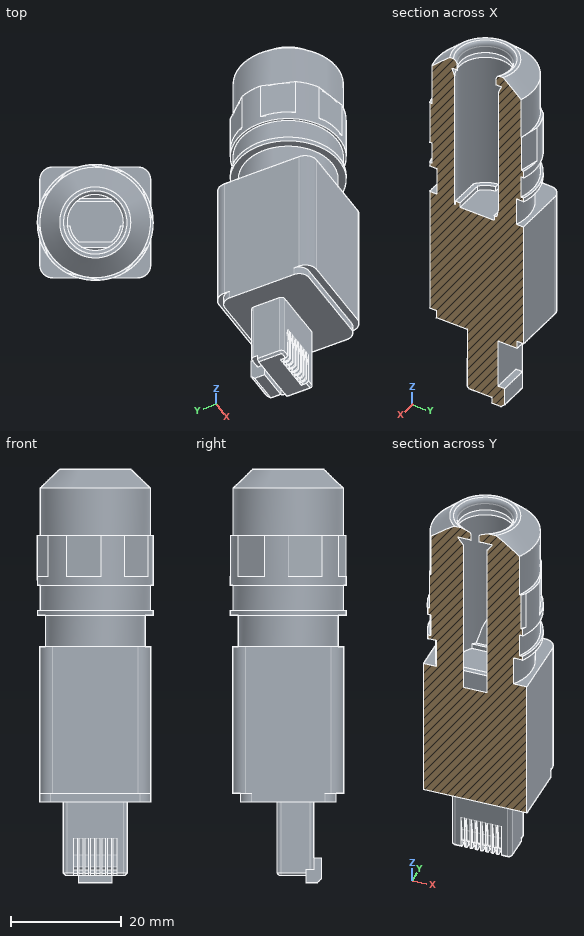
import math

import cadquery as cq


HOUSING_STEP_Z = 1.6
HOUSING_TOP_Z = 28.15
FLANGE_BOTTOM_Z = 33.8
FLANGE_TOP_Z = 34.7
COLLAR_BOTTOM_Z = 39.2
FLAT_BOTTOM_Z = 40.8
COLLAR_TOP_Z = 48.25
CONE_BOTTOM_Z = 56.8
GLAND_TOP_Z = 60.25
PLUG_END_Z = -13.3
LATCH_END_Z = -14.6

HOUSING_WIDTH = 20.1
HOUSING_CORNER_RADIUS = 2.35
STEP_DEPTH_Y = 17.3
STEP_CORNER_RADIUS = 2.0

NECK_RADIUS = 9.05
NUT_RADIUS = 10.0
COLLAR_RADIUS = 10.5
MOUTH_RIM_RADIUS = 6.43
FLAT_COUNT = 6
FLAT_FIRST_ANGLE = 18.0

MOUTH_RADIUS = 5.07
LIP_RADIUS = 1.0
LIP_TOP_RADIUS = 5.74
BORE_RADIUS = 5.5
GROOVE_RADIUS = 6.0
GROOVE_TOP_DEPTH = 2.35
GROOVE_BOTTOM_DEPTH = 3.75
BORE_FLOOR_Z = HOUSING_TOP_Z
FLOOR_SLOPE_HEIGHT = 6.5
BACK_RAMP_Y = 4.3
FRONT_GUTTER_Y = -4.5
POCKET_RADIUS = 4.6
POCKET_FRONT_Y = -3.5
POCKET_SHOULDER_Y = -0.65
POCKET_BACK_Y = 3.75
POCKET_DEPTH = 1.0

PLUG_WIDTH = 11.6
PLUG_FRONT_Y = -2.05
PLUG_BACK_Y = 4.65
PLUG_CORNER_RADIUS = 0.7
PLUG_END_CHAMFER = 0.45

LATCH_WIDTH = 6.1
LATCH_FRONT_Y = 3.2
LATCH_BACK_Y = 6.05
LATCH_TOP_Z = -10.1
LATCH_SHOULDER_Z = -12.15
LATCH_CHAMFER = 0.8

SLOT_COUNT = 8
SLOT_PITCH = 1.02
SLOT_WIDTH = 0.7
SLOT_TOP_Z = -6.55
SLOT_RAMP_END_Z = -9.55
SLOT_FLAT_END_Z = -11.65
SLOT_SHALLOW_DEPTH = 0.5
SLOT_ROUND_RADIUS = 0.6
SLOT_END_CHAMFER = 0.4


def make_housing():
    body = (
        cq.Workplane("XY", origin=(0, 0, HOUSING_STEP_Z))
        .rect(HOUSING_WIDTH, HOUSING_WIDTH)
        .extrude(HOUSING_TOP_Z - HOUSING_STEP_Z)
        .edges("|Z")
        .fillet(HOUSING_CORNER_RADIUS)
    )
    step = (
        cq.Workplane("XY")
        .rect(HOUSING_WIDTH, STEP_DEPTH_Y)
        .extrude(HOUSING_STEP_Z)
        .edges("|Z")
        .fillet(STEP_CORNER_RADIUS)
    )
    return body.union(step)


def make_gland():
    profile = [
        (0, HOUSING_TOP_Z),
        (NECK_RADIUS, HOUSING_TOP_Z),
        (NECK_RADIUS, FLANGE_BOTTOM_Z),
        (COLLAR_RADIUS, FLANGE_BOTTOM_Z),
        (COLLAR_RADIUS, FLANGE_TOP_Z),
        (NUT_RADIUS, FLANGE_TOP_Z),
        (NUT_RADIUS, COLLAR_BOTTOM_Z),
        (COLLAR_RADIUS, COLLAR_BOTTOM_Z),
        (COLLAR_RADIUS, COLLAR_TOP_Z),
        (NUT_RADIUS, COLLAR_TOP_Z),
        (NUT_RADIUS, CONE_BOTTOM_Z),
        (MOUTH_RIM_RADIUS, GLAND_TOP_Z),
        (0, GLAND_TOP_Z),
    ]
    gland = cq.Workplane("XZ").polyline(profile).close().revolve(360, (0, 0), (0, 1))
    return gland.cut(make_wrench_flats())


def make_wrench_flats():
    """Material outside a hexagon whose flats touch the nut cylinder."""
    flat_height = COLLAR_TOP_Z - FLAT_BOTTOM_Z
    block_depth = 2 * (COLLAR_RADIUS - NUT_RADIUS)
    block = cq.Workplane("XY", origin=(0, 0, FLAT_BOTTOM_Z)).box(
        block_depth, NUT_RADIUS, flat_height, centered=(False, True, False)
    )
    block = block.translate((NUT_RADIUS, 0, 0))
    flats = cq.Workplane("XY")
    for index in range(FLAT_COUNT):
        angle = FLAT_FIRST_ANGLE + index * 360 / FLAT_COUNT
        flats = flats.union(block.rotate((0, 0, 0), (0, 0, 1), angle))
    return flats


def make_bore():
    """Blind cable bore with a rounded lip, an undercut and a sloped floor edge front and back."""
    lip_center_radius = MOUTH_RADIUS + LIP_RADIUS
    lip_depth = math.sqrt(LIP_RADIUS**2 - (lip_center_radius - LIP_TOP_RADIUS) ** 2)
    lip_bottom_z = GLAND_TOP_Z - lip_depth
    half_lip_angle = math.asin(lip_depth / LIP_RADIUS) / 2
    lip_middle = (
        lip_center_radius - LIP_RADIUS * math.cos(half_lip_angle),
        lip_bottom_z + LIP_RADIUS * math.sin(half_lip_angle),
    )
    groove_top_z = GLAND_TOP_Z - GROOVE_TOP_DEPTH
    groove_bottom_z = GLAND_TOP_Z - GROOVE_BOTTOM_DEPTH
    bore = (
        cq.Workplane("XZ")
        .moveTo(0, BORE_FLOOR_Z)
        .lineTo(BORE_RADIUS, BORE_FLOOR_Z)
        .lineTo(BORE_RADIUS, groove_bottom_z)
        .lineTo(GROOVE_RADIUS, groove_top_z)
        .lineTo(MOUTH_RADIUS, groove_top_z)
        .lineTo(MOUTH_RADIUS, lip_bottom_z)
        .threePointArc(lip_middle, (LIP_TOP_RADIUS, GLAND_TOP_Z))
        .lineTo(0, GLAND_TOP_Z)
        .close()
        .revolve(360, (0, 0), (0, 1))
    )
    back_ramp = make_edge_wedge(BACK_RAMP_Y, BORE_RADIUS, FLOOR_SLOPE_HEIGHT)
    front_gutter = make_edge_wedge(FRONT_GUTTER_Y, -BORE_RADIUS, -FLOOR_SLOPE_HEIGHT)
    return bore.cut(back_ramp).union(front_gutter).union(make_floor_pocket())


def make_edge_wedge(foot_y, wall_y, rise):
    """Part of the bore cylinder between the floor and a slope from a straight foot to the bore wall."""
    wedge = (
        cq.Workplane("YZ")
        .polyline([(foot_y, BORE_FLOOR_Z), (wall_y, BORE_FLOOR_Z), (wall_y, BORE_FLOOR_Z + rise)])
        .close()
        .extrude(BORE_RADIUS, both=True)
    )
    bore_column = cq.Workplane("XY", origin=(0, 0, BORE_FLOOR_Z)).circle(BORE_RADIUS).extrude(rise)
    return wedge.intersect(bore_column)


def make_floor_pocket():
    """Pocket in the bore floor: full bore width at the back, a smaller arc cut off straight at the front."""
    pocket_base = cq.Workplane("XY", origin=(0, 0, BORE_FLOOR_Z - POCKET_DEPTH))
    back_part = make_pocket_part(pocket_base, BORE_RADIUS, POCKET_SHOULDER_Y, POCKET_BACK_Y)
    front_part = make_pocket_part(pocket_base, POCKET_RADIUS, POCKET_FRONT_Y, POCKET_SHOULDER_Y)
    return back_part.union(front_part)


def make_pocket_part(pocket_base, radius, front_y, back_y):
    """Slice of a round pocket between two Y positions."""
    disc = pocket_base.circle(radius).extrude(POCKET_DEPTH)
    band = (
        pocket_base.center(0, (front_y + back_y) / 2)
        .rect(2 * radius, back_y - front_y)
        .extrude(POCKET_DEPTH)
    )
    return disc.intersect(band)


def make_plug():
    depth = PLUG_BACK_Y - PLUG_FRONT_Y
    middle_y = (PLUG_BACK_Y + PLUG_FRONT_Y) / 2
    plug = (
        cq.Workplane("XY", origin=(0, middle_y, PLUG_END_Z))
        .rect(PLUG_WIDTH, depth)
        .extrude(-PLUG_END_Z)
        .edges("|Z")
        .fillet(PLUG_CORNER_RADIUS)
        .faces("<Z")
        .chamfer(PLUG_END_CHAMFER)
    )
    return plug.cut(make_latch_notch()).cut(make_contact_slots())


def make_latch_notch():
    """Full-width notch in the back end edge of the plug, which the latch sits in."""
    return cq.Workplane("XY", origin=(0, LATCH_FRONT_Y, PLUG_END_Z)).box(
        PLUG_WIDTH,
        PLUG_BACK_Y - LATCH_FRONT_Y,
        LATCH_SHOULDER_Z - PLUG_END_Z,
        centered=(True, False, False),
    )


def make_contact_slots():
    """Row of slots whose floor slopes in, runs straight, then drops back around a rounded contact end."""
    shallow_y = PLUG_FRONT_Y + SLOT_SHALLOW_DEPTH
    deep_y = shallow_y + SLOT_ROUND_RADIUS
    round_end_z = SLOT_FLAT_END_Z - SLOT_ROUND_RADIUS
    round_offset = SLOT_ROUND_RADIUS * math.sqrt(0.5)
    round_middle = (deep_y - round_offset, SLOT_FLAT_END_Z - round_offset)
    slot = (
        cq.Workplane("YZ")
        .moveTo(PLUG_FRONT_Y, SLOT_TOP_Z)
        .lineTo(shallow_y, SLOT_RAMP_END_Z)
        .lineTo(shallow_y, SLOT_FLAT_END_Z)
        .threePointArc(round_middle, (deep_y, round_end_z))
        .lineTo(deep_y, PLUG_END_Z + SLOT_END_CHAMFER)
        .lineTo(deep_y + SLOT_END_CHAMFER, PLUG_END_Z)
        .lineTo(PLUG_FRONT_Y, PLUG_END_Z)
        .close()
        .extrude(SLOT_WIDTH / 2, both=True)
    )
    slots = cq.Workplane("XY")
    for index in range(SLOT_COUNT):
        x = (index - (SLOT_COUNT - 1) / 2) * SLOT_PITCH
        slots = slots.union(slot.translate((x, 0, 0)))
    return slots


def make_latch():
    outline = [
        (LATCH_FRONT_Y, LATCH_END_Z),
        (LATCH_BACK_Y - LATCH_CHAMFER, LATCH_END_Z),
        (LATCH_BACK_Y, LATCH_END_Z + LATCH_CHAMFER),
        (LATCH_BACK_Y, LATCH_TOP_Z),
        (PLUG_BACK_Y, LATCH_TOP_Z),
        (PLUG_BACK_Y, LATCH_SHOULDER_Z),
        (LATCH_FRONT_Y, LATCH_SHOULDER_Z),
    ]
    return cq.Workplane("YZ").polyline(outline).close().extrude(LATCH_WIDTH / 2, both=True)


result = make_housing().union(make_gland()).cut(make_bore()).union(make_plug()).union(make_latch())